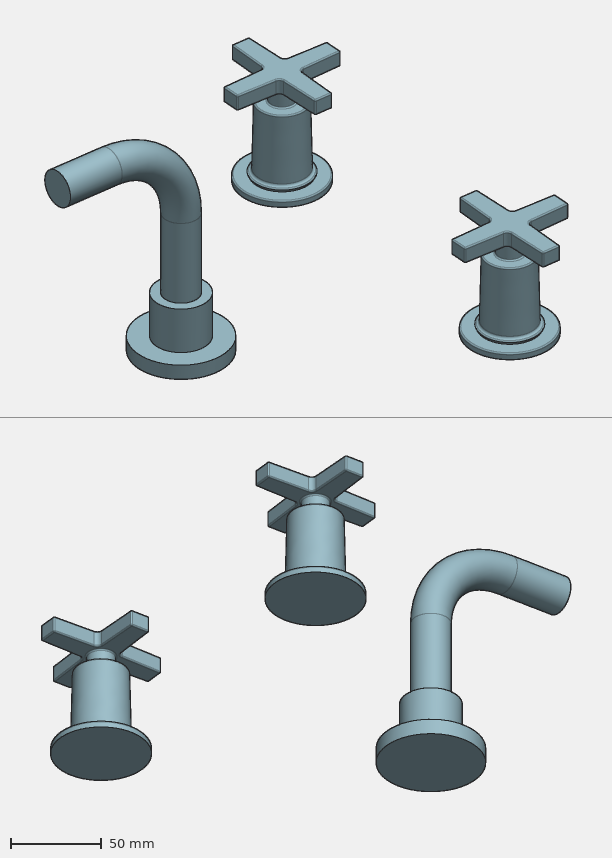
import cadquery as cq
import math

handle_spacing = 200.0
handle_setback = 152.3

spout_flange_diameter = 60.5
spout_flange_height = 9.5
collar_diameter = 34.8
collar_top = 38.0
tube_diameter = 22.7
bend_radius = 51.0
spout_height = 152.3

handle_flange_diameter = 55.8
handle_flange_height = 4.1
flange_edge_radius = 0.8
groove_diameter = 37.0
lip_diameter = 38.7
lip_edge_radius = 0.8
cove_radius = 1.7
barrel_bottom = 8.3
barrel_bottom_diameter = 33.7
barrel_top = 52.2
barrel_top_diameter = 31.8
barrel_edge_radius = 0.8
stem_diameter = 16.0
stem_end_radius = 0.8

grip_span = 73.3
grip_bottom = 63.0
grip_top = 73.0
arm_tip_width = 12.2
arm_root_width = 13.8
arm_root_fillet = 3.0
grip_edge_fillet = 0.8

overall_depth = 276.5
spout_reach = overall_depth - handle_setback - grip_span / 2


def make_spout():
    base = (
        cq.Workplane("XY")
        .circle(spout_flange_diameter / 2)
        .extrude(spout_flange_height)
        .faces(">Z")
        .workplane()
        .circle(collar_diameter / 2)
        .extrude(collar_top - spout_flange_height)
    )
    axis_height = spout_height - tube_diameter / 2
    bend_start = axis_height - bend_radius
    bend_chord_offset = bend_radius * (1 - math.sqrt(0.5))
    centreline = (
        cq.Workplane("YZ")
        .moveTo(0, collar_top)
        .lineTo(0, bend_start)
        .threePointArc((-bend_chord_offset, axis_height - bend_chord_offset), (-bend_radius, axis_height))
        .lineTo(-spout_reach, axis_height)
    )
    tube = cq.Workplane("XY").workplane(offset=collar_top).circle(tube_diameter / 2).sweep(centreline)
    return base.union(tube)


def make_pedestal():
    flange_radius = handle_flange_diameter / 2
    groove_radius = groove_diameter / 2
    lip_radius = lip_diameter / 2
    barrel_bottom_radius = barrel_bottom_diameter / 2
    barrel_top_radius = barrel_top_diameter / 2
    stem_radius = stem_diameter / 2
    lip_top = barrel_bottom - cove_radius
    lip_edge_bottom = lip_top - lip_edge_radius
    profile = (
        cq.Workplane("XZ")
        .lineTo(flange_radius, 0)
        .lineTo(flange_radius, handle_flange_height - flange_edge_radius)
        .tangentArcPoint((flange_radius - flange_edge_radius, handle_flange_height), relative=False)
        .lineTo(groove_radius, handle_flange_height)
        .lineTo(lip_radius, lip_edge_bottom)
        .threePointArc(
            (
                lip_radius - lip_edge_radius * (1 - math.sqrt(0.5)),
                lip_edge_bottom + lip_edge_radius * math.sqrt(0.5),
            ),
            (lip_radius - lip_edge_radius, lip_top),
        )
        .tangentArcPoint((barrel_bottom_radius, barrel_bottom), relative=False)
        .lineTo(barrel_top_radius, barrel_top - barrel_edge_radius)
        .tangentArcPoint((barrel_top_radius - barrel_edge_radius, barrel_top), relative=False)
        .lineTo(stem_radius + stem_end_radius, barrel_top)
        .tangentArcPoint((stem_radius, barrel_top + stem_end_radius), relative=False)
        .lineTo(stem_radius, grip_bottom - stem_end_radius)
        .tangentArcPoint((stem_radius + stem_end_radius, grip_bottom), relative=False)
        .lineTo(0, grip_bottom)
        .close()
    )
    return profile.revolve(360, (0, 0, 0), (0, 1, 0))


def make_grip():
    half_span = grip_span / 2
    half_tip = arm_tip_width / 2
    half_root = arm_root_width / 2
    outline = []
    for quarter in range(4):
        angle = quarter * math.pi / 2
        for x, y in [(half_span, -half_tip), (half_span, half_tip), (half_root, half_root)]:
            outline.append((
                x * math.cos(angle) - y * math.sin(angle),
                x * math.sin(angle) + y * math.cos(angle),
            ))
    cross = cq.Workplane("XY").workplane(offset=grip_bottom).polyline(outline).close()
    grip = cross.extrude(grip_top - grip_bottom)
    root_box = cq.selectors.BoxSelector(
        (-arm_root_width, -arm_root_width, grip_bottom), (arm_root_width, arm_root_width, grip_top)
    )
    inner_corners = grip.edges("|Z").edges(root_box)
    grip = inner_corners.fillet(arm_root_fillet)
    tip_corners = grip.edges("|Z").edges(cq.selectors.InverseSelector(root_box))
    rims = grip.faces("<Z or >Z").edges()
    return tip_corners.add(rims).fillet(grip_edge_fillet)


def make_handle(x):
    handle = make_pedestal().union(make_grip())
    return handle.translate((x, handle_setback, 0))


spout = make_spout()
handles = [make_handle(side * handle_spacing / 2) for side in (-1, 1)]

result = cq.Compound.makeCompound([spout.val(), *[handle.val() for handle in handles]])